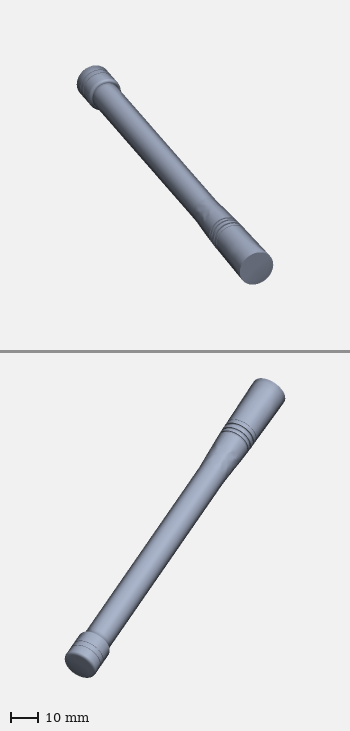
import cadquery as cq

total_length = 149.0
rod_radius = 5.3

fine_groove_width = 0.4
fine_groove_depth = 0.2

cap_radius = 6.5
cap_length = 12.5
cap_round = 1.1
cap_groove_starts = (4.15, 6.45)

sleeve_start = 103.4
lead_in_length = 0.9
lead_in_rise = 0.05
shoulder_start = 124.0
shoulder_radius = 6.36
taper_bulge = 0.06

ring_groove_starts = (120.3, 122.1, 124.4)
ring_groove_width = 0.9
ring_groove_radius = 5.75

grip_groove_start = 126.7
band_length = 3.0
band_radius = 6.75

taper_start = sleeve_start + lead_in_length
taper_start_radius = rod_radius + lead_in_rise
grip_start = grip_groove_start + fine_groove_width
band_start = total_length - band_length


def barrel(start, end, start_radius, end_radius, bulge=0):
    """Solid of revolution on the X axis between two radii; bulge bows its side outward."""
    side = cq.Workplane("XZ").moveTo(start, 0).lineTo(start, start_radius)
    if bulge:
        middle = ((start + end) / 2, (start_radius + end_radius) / 2 + bulge)
        side = side.threePointArc(middle, (end, end_radius))
    else:
        side = side.lineTo(end, end_radius)
    return side.lineTo(end, 0).close().revolve(360, (0, 0, 0), (1, 0, 0))


def cylinder(start, end, radius):
    """Solid round bar on the X axis from start to end."""
    return barrel(start, end, radius, radius)


def groove(start, width, floor_radius):
    """Ring-shaped cutter that leaves a floor of the given radius."""
    end = start + width
    return cylinder(start, end, band_radius).cut(cylinder(start, end, floor_radius))


def end_cap():
    """Plain cap with both rims rounded and two fine grooves around it."""
    cap = cylinder(0, cap_length, cap_radius).edges("%CIRCLE").fillet(cap_round)
    for start in cap_groove_starts:
        cap = cap.cut(groove(start, fine_groove_width, cap_radius - fine_groove_depth))
    return cap


def sleeve():
    """Lead-in, bulged taper and straight shoulder, grooved into rings near its end."""
    lead_in = barrel(sleeve_start, taper_start, rod_radius, taper_start_radius)
    taper = barrel(taper_start, shoulder_start, taper_start_radius, shoulder_radius, taper_bulge)
    shoulder = cylinder(shoulder_start, grip_start, shoulder_radius)
    body = lead_in.union(taper).union(shoulder)
    for start in ring_groove_starts:
        body = body.cut(groove(start, ring_groove_width, ring_groove_radius))
    return body.cut(groove(grip_groove_start, fine_groove_width, shoulder_radius - fine_groove_depth))


def grip():
    """Slow taper ending in a plain band."""
    taper = barrel(grip_start, band_start, shoulder_radius, band_radius)
    return taper.union(cylinder(band_start, total_length, band_radius))


rod = cylinder(cap_length, sleeve_start, rod_radius)
result = rod.union(end_cap()).union(sleeve()).union(grip())